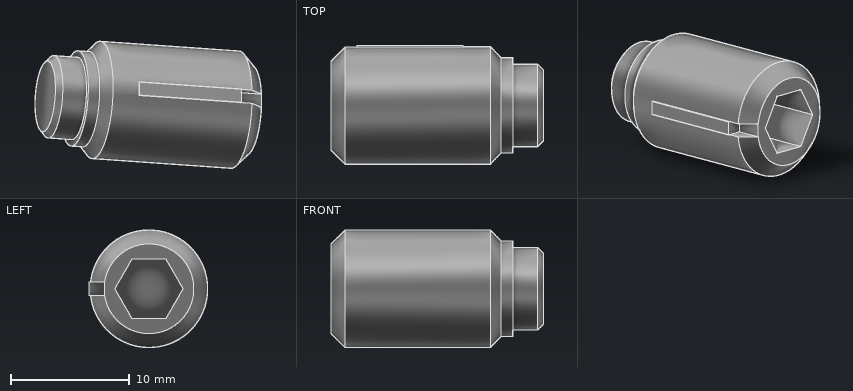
import cadquery as cq
import math

length = 18.0
body_diameter = 9.97
collar_diameter = 8.1
pin_diameter = 7.0
socket_chamfer_length = 1.2
socket_face_radius = 3.8
body_end = 13.5
shoulder_end = 14.4
collar_end = 15.4
pin_chamfer = 0.5

socket_across_flats = 5.0
socket_depth = 5.0

strip_start = 2.2
strip_length = 9.0
strip_width = 1.15
strip_top = 5.1
groove_floor = 3.76

body_radius = body_diameter / 2
collar_radius = collar_diameter / 2
pin_radius = pin_diameter / 2


def turned_body():
    """Revolve the stepped and chamfered half outline about X."""
    outline = [
        (0, 0),
        (0, socket_face_radius),
        (socket_chamfer_length, body_radius),
        (body_end, body_radius),
        (shoulder_end, collar_radius),
        (collar_end, collar_radius),
        (collar_end, pin_radius),
        (length - pin_chamfer, pin_radius),
        (length, pin_radius - pin_chamfer),
        (length, 0),
    ]
    return cq.Workplane("XY").polyline(outline).close().revolve(360, (0, 0, 0), (1, 0, 0))


def hex_socket():
    """Blind hexagon with corners on Y and flats facing Z."""
    across_corners = socket_across_flats / math.cos(math.pi / 6)
    return cq.Workplane("YZ").polygon(6, across_corners).extrude(socket_depth)


def side_block(start, end):
    """Block of the strip's section between two stations along X."""
    return (
        cq.Workplane("XY")
        .box(end - start, strip_top - groove_floor, strip_width, centered=(False, False, True))
        .translate((start, groove_floor, 0))
    )


groove = side_block(0, strip_start)
strip = side_block(strip_start, strip_start + strip_length)

result = turned_body().cut(hex_socket()).cut(groove).union(strip)